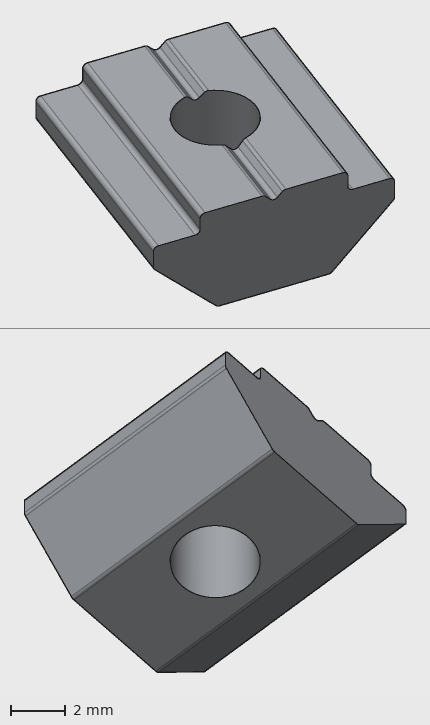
import cadquery as cq

length = 10.0
width = 9.8
height = 4.5

tongue_width = 6.0
shoulder_height = 3.6
base_width = 4.6
flank_rise = (width - base_width) / 2
groove_depth = 0.4
groove_half_width = groove_depth

edge_radius = 0.2
bore_diameter = 3.3

half_section = [
    (base_width / 2, 0),
    (width / 2, flank_rise),
    (width / 2, shoulder_height),
    (tongue_width / 2, shoulder_height),
    (tongue_width / 2, height),
    (groove_half_width, height),
]


def make_bar():
    """Sharp-edged T-section bar with the centring groove along its top."""
    groove_bottom = (0, height - groove_depth)
    mirrored_half = [(-y, z) for y, z in reversed(half_section)]
    outline = half_section + [groove_bottom] + mirrored_half
    return cq.Workplane("YZ").polyline(outline).close().extrude(length / 2, both=True)


def edge_selector(y, z):
    """Selector for the long edge that passes through (y, z)."""
    reach = 0.01
    return cq.selectors.BoxSelector(
        (-reach, y - reach, z - reach),
        (reach, y + reach, z + reach),
    )


def round_long_edges(bar):
    """Round every long edge, including the groove bottom and the tongue roots."""
    rounded = bar.edges(edge_selector(0, height - groove_depth)).fillet(edge_radius)
    for y, z in half_section:
        for side in (-1, 1):
            rounded = rounded.edges(edge_selector(side * y, z)).fillet(edge_radius)
    return rounded


def cut_bore(bar):
    """Drill the central bore straight through from top to bottom."""
    bore = cq.Workplane("XY").circle(bore_diameter / 2).extrude(height)
    return bar.cut(bore)


result = cut_bore(round_long_edges(make_bar()))